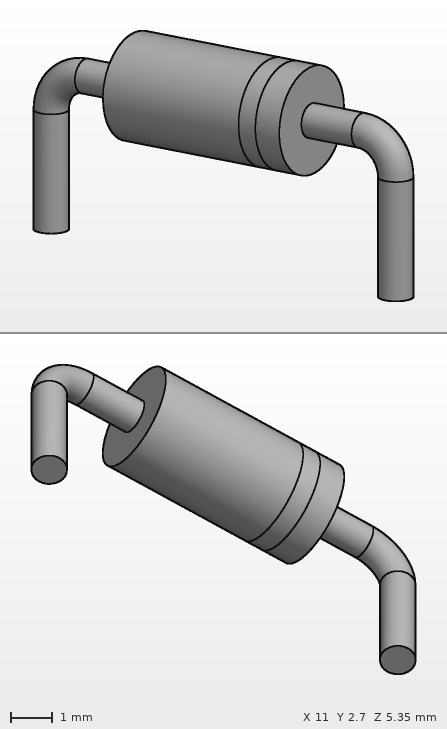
import cadquery as cq

overall_length = 11.02
body_diameter = 2.7
overall_height = 5.35
wire_diameter = 0.86
bend_radius = 1.0
main_length = 4.0
band_length = 0.5
end_length = 0.7

body_length = main_length + band_length + end_length
body_start = -body_length / 2
band_start = body_start + main_length
end_start = band_start + band_length
leg_x = (overall_length - wire_diameter) / 2
bend_start_x = leg_x - bend_radius
leg_bottom_z = body_diameter / 2 - overall_height


def rod_along_x(start_x, length, diameter):
    """Solid cylinder on the body axis, starting at start_x."""
    return cq.Workplane("YZ", origin=(start_x, 0, 0)).circle(diameter / 2).extrude(length)


main_section = rod_along_x(body_start, main_length, body_diameter)
polarity_band = rod_along_x(band_start, band_length, body_diameter)
end_section = rod_along_x(end_start, end_length, body_diameter)


def axial_wire():
    """Straight wire from the body face to the bend."""
    face_x = body_length / 2
    return rod_along_x(face_x, bend_start_x - face_x, wire_diameter)


def wire_bend():
    """Quarter turn of wire from the body axis down to the leg."""
    return (
        cq.Workplane("YZ", origin=(bend_start_x, 0, 0))
        .circle(wire_diameter / 2)
        .revolve(90, (-0.11, -bend_radius), (0.11, -bend_radius))
    )


def leg():
    """Straight vertical wire below the bend."""
    return (
        cq.Workplane("XY", origin=(leg_x, 0, leg_bottom_z))
        .circle(wire_diameter / 2)
        .extrude(-bend_radius - leg_bottom_z)
    )


wire_pieces = []
for side_angle in (0, 180):
    for make_piece in (axial_wire, wire_bend, leg):
        piece = make_piece().rotate((0, 0, 0), (0, 0, 1), side_angle)
        wire_pieces.append(piece.val())

result = cq.Compound.makeCompound(
    [main_section.val(), polarity_band.val(), end_section.val(), *wire_pieces]
)